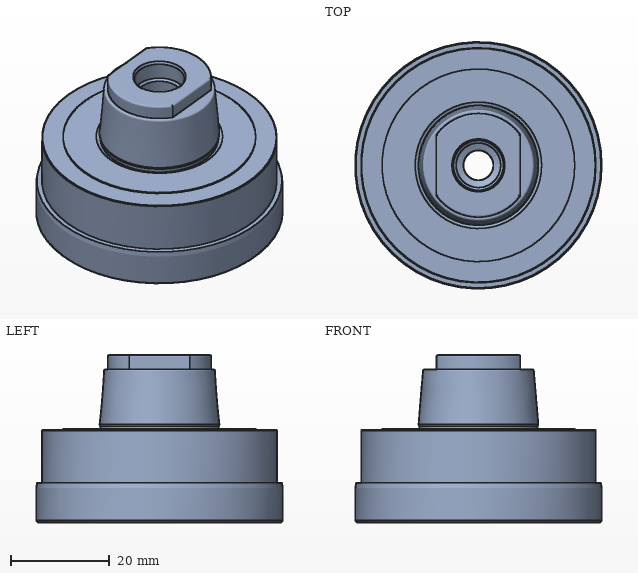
import cadquery as cq

total_height = 33.95

flange_radius = 25.0
flange_top = 8.05
flange_bevel_width = 0.2
flange_bevel_height = 1.05
bottom_chamfer = 0.45

drum_radius = 23.8
drum_top = 18.8
drum_chamfer = 0.15
disc_radius = 19.5
disc_top = 19.05

groove_radius = 12.8
groove_depth = 0.3

neck_foot_radius = 12.0
neck_lip_bottom = 19.5
neck_flank_bottom = 19.95
neck_bottom_radius = 12.15
neck_top_radius = 11.25
neck_top = 31.05
neck_fillet = 0.4

tip_radius = 10.5
tip_flat_width = 17.0
tip_fillet = 0.4

bore_radius = 5.05
mouth_chamfer_width = 0.3
mouth_chamfer_height = 0.55
ledge_depth = 4.0
ledge_drop = 0.4
lower_bore_radius = 4.5
bore_floor_z = disc_top
floor_drop = 0.7
through_radius = 3.0


def make_body():
    """Revolve the flange, drum and neck as one solid."""
    flank_top = neck_top - neck_fillet
    profile = (
        cq.Workplane("XZ")
        .moveTo(0, 0)
        .lineTo(flange_radius - bottom_chamfer, 0)
        .lineTo(flange_radius, bottom_chamfer)
        .lineTo(flange_radius, flange_top - flange_bevel_height)
        .lineTo(flange_radius - flange_bevel_width, flange_top)
        .lineTo(drum_radius, flange_top)
        .lineTo(drum_radius, drum_top - drum_chamfer)
        .lineTo(drum_radius - drum_chamfer, drum_top)
        .lineTo(disc_radius, drum_top)
        .lineTo(disc_radius, disc_top)
        .lineTo(groove_radius, disc_top)
        .lineTo(neck_foot_radius, disc_top - groove_depth)
        .lineTo(neck_foot_radius, neck_lip_bottom)
        .lineTo(neck_bottom_radius, neck_flank_bottom)
        .lineTo(neck_top_radius, flank_top)
        .radiusArc((neck_top_radius - neck_fillet, neck_top), -neck_fillet)
        .lineTo(0, neck_top)
        .close()
    )
    return profile.revolve(360, (0, 0, 0), (0, 1, 0))


def make_tip():
    """Round tip cut by two flats parallel to the YZ plane."""
    tip_height = total_height - neck_top
    flats = cq.Workplane("XY").workplane(offset=neck_top).rect(tip_flat_width, 2 * tip_radius)
    disc = cq.Workplane("XY").workplane(offset=neck_top).circle(tip_radius).extrude(tip_height)
    return disc.intersect(flats.extrude(tip_height)).faces(">Z").edges().fillet(tip_fillet)


def make_bore():
    """Revolve the stepped bore: beveled mouth, sloped ledge, conical floor, through hole."""
    ledge_z = total_height - ledge_depth
    profile = (
        cq.Workplane("XZ")
        .moveTo(0, 0)
        .lineTo(through_radius, 0)
        .lineTo(through_radius, bore_floor_z - floor_drop)
        .lineTo(lower_bore_radius, bore_floor_z)
        .lineTo(lower_bore_radius, ledge_z - ledge_drop)
        .lineTo(bore_radius, ledge_z)
        .lineTo(bore_radius, total_height - mouth_chamfer_height)
        .lineTo(bore_radius + mouth_chamfer_width, total_height)
        .lineTo(0, total_height)
        .close()
    )
    return profile.revolve(360, (0, 0, 0), (0, 1, 0))


result = make_body().union(make_tip()).cut(make_bore())